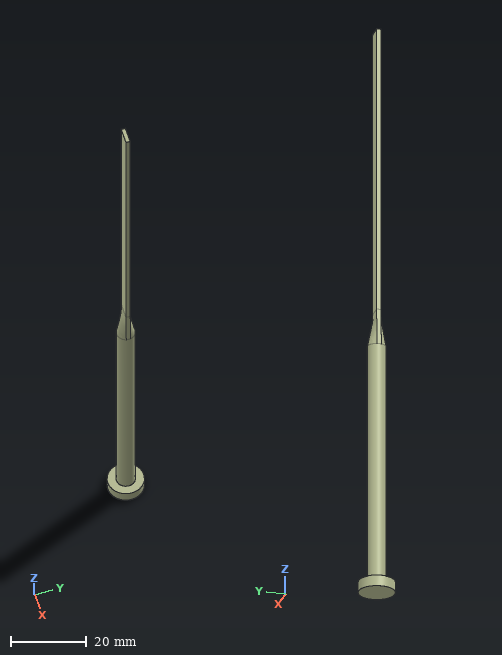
import cadquery as cq
import math

total_length = 160.0
head_diameter = 10.0
head_height = 3.0
shaft_diameter = 5.1
shaft_top = 70.0
blade_start = 80.0
blade_width = 4.5
blade_thickness = 1.2

shaft_radius = shaft_diameter / 2
half_width = blade_width / 2
half_thickness = blade_thickness / 2


def blade_section():
    """Rectangular blade outline where the transition ends."""
    return (
        cq.Workplane("XY", origin=(0, 0, blade_start))
        .moveTo(half_width, -half_thickness)
        .lineTo(half_width, half_thickness)
        .lineTo(-half_width, half_thickness)
        .lineTo(-half_width, -half_thickness)
        .close()
    )


def shaft_section():
    """Shaft circle split into four arcs that pair with the blade's four sides."""
    corner_x = math.sqrt(shaft_radius**2 - half_thickness**2)
    return (
        cq.Workplane("XY", origin=(0, 0, shaft_top))
        .moveTo(corner_x, -half_thickness)
        .threePointArc((shaft_radius, 0), (corner_x, half_thickness))
        .threePointArc((0, shaft_radius), (-corner_x, half_thickness))
        .threePointArc((-shaft_radius, 0), (-corner_x, -half_thickness))
        .threePointArc((0, -shaft_radius), (corner_x, -half_thickness))
        .close()
    )


def make_transition():
    """Straight loft from the round shaft to the flat blade."""
    wires = [shaft_section().val(), blade_section().val()]
    return cq.Workplane(obj=cq.Solid.makeLoft(wires, True))


head = cq.Workplane("XY").circle(head_diameter / 2).extrude(head_height)
shaft = cq.Workplane("XY").circle(shaft_radius).extrude(shaft_top)
blade = blade_section().extrude(total_length - blade_start)

result = head.union(shaft).union(make_transition()).union(blade)